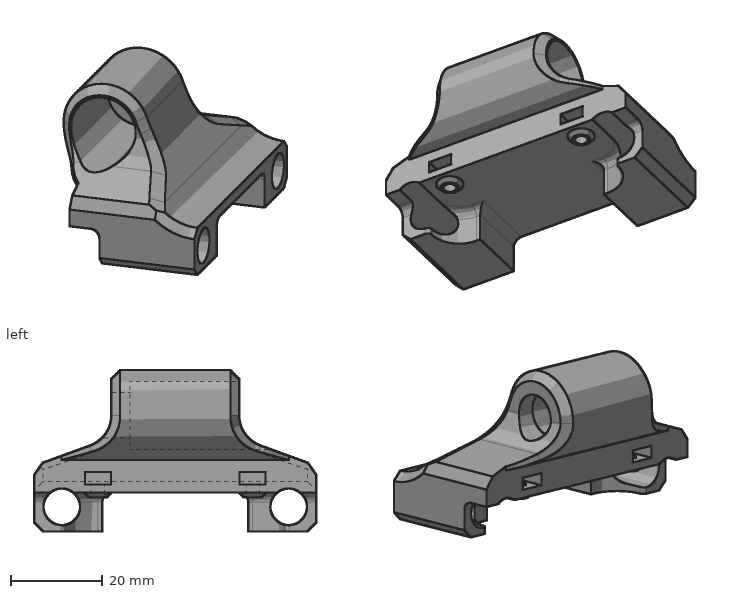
import cadquery as cq
import math

length = 62.0
half_length = length / 2
back_x = 27.05
front_x = -2.05
leg_front_x = 4.9
back_top_z = 11.05
plate_bottom_z = 8.55
edge_chamfer = 2.0

barrel_z = 25.55
barrel_radius = 10.0
barrel_half_length = 14.1
bore_diameter = 10.0
pocket_diameter = 15.0
pocket_depth = 24.0

flare_radius = 7.0
shoulder_angle = math.radians(20)

barrel_tangent_angle = math.radians(20)
foot_radius = 12.0
foot_start_x = 18.3

leg_inner_y = 16.0
leg_root_fillet = 2.0
leg_corner_radius = 1.0
relief_center_y = 17.0
relief_radius = 7.1
rod_y = 24.9
rod_z = 5.45
rod_diameter = 8.0

screw_x = 2.0
screw_y = 17.0
screw_diameter = 3.0
boss_root_diameter = 6.0
boss_height = 1.0
boss_taper = 45
nut_width = 5.7
nut_slot_height = 2.7
nut_slot_z = 10.4

tolerance = 0.005
SIDES = (-1, 1)


def barrel_side_body():
    """Barrel, curved back and plate outline in XZ, swept along the whole length."""
    tangent_x = barrel_radius * math.cos(barrel_tangent_angle)
    tangent_z = barrel_z + barrel_radius * math.sin(barrel_tangent_angle)
    barrel_mid_angle = (math.pi / 2 + barrel_tangent_angle) / 2
    barrel_back_mid = (
        barrel_radius * math.cos(barrel_mid_angle),
        barrel_z + barrel_radius * math.sin(barrel_mid_angle),
    )
    foot_run = back_x - foot_start_x
    foot_start_z = back_top_z + foot_radius - math.sqrt(foot_radius**2 - foot_run**2)
    foot_mid_angle = math.asin(foot_run / foot_radius) / 2
    foot_mid = (
        back_x - foot_radius * math.sin(foot_mid_angle),
        back_top_z + foot_radius * (1 - math.cos(foot_mid_angle)),
    )
    barrel_front_z = barrel_z - math.sqrt(barrel_radius**2 - front_x**2)
    return (
        cq.Workplane("XZ", origin=(0, half_length, 0))
        .moveTo(front_x, plate_bottom_z)
        .lineTo(front_x, barrel_front_z)
        .threePointArc((-barrel_radius, barrel_z), (0, barrel_z + barrel_radius))
        .threePointArc(barrel_back_mid, (tangent_x, tangent_z))
        .tangentArcPoint((foot_start_x - tangent_x, foot_start_z - tangent_z))
        .threePointArc(foot_mid, (back_x, back_top_z))
        .lineTo(back_x, plate_bottom_z)
        .close()
        .extrude(length)
    )


def shoulder_body():
    """Stepped outline in YZ: narrow at the barrel, flaring out to the full length."""
    top_z = barrel_z + barrel_radius
    flare_y = barrel_half_length + flare_radius
    flare_end_y = flare_y - flare_radius * math.sin(shoulder_angle)
    flare_end_z = barrel_z - flare_radius * math.cos(shoulder_angle)
    flare_mid_angle = (math.pi / 2 - shoulder_angle) / 2
    flare_mid = (
        flare_y - flare_radius * math.cos(flare_mid_angle),
        barrel_z - flare_radius * math.sin(flare_mid_angle),
    )
    end_z = flare_end_z - (half_length - flare_end_y) * math.tan(shoulder_angle)
    half = (
        cq.Workplane("YZ", origin=(-barrel_radius, 0, 0))
        .moveTo(0, plate_bottom_z)
        .lineTo(half_length, plate_bottom_z)
        .lineTo(half_length, end_z)
        .lineTo(flare_end_y, flare_end_z)
        .threePointArc(flare_mid, (barrel_half_length, barrel_z))
        .lineTo(barrel_half_length, top_z)
        .lineTo(0, top_z)
        .close()
        .extrude(barrel_radius + back_x)
    )
    return half.union(half.mirror("XZ"))


def is_upper_rim(edge):
    """True for edges where the barrel outline or the end faces meet the shoulders.

    The ends of the curved foot are left out; they are chamfered separately.
    """
    box = edge.BoundingBox()
    foot_end = box.xmax > back_x - tolerance
    on_end_face = box.ymax - box.ymin < tolerance and abs(abs(box.ymin) - half_length) < tolerance
    along_x = box.ymax - box.ymin < tolerance and box.zmax - box.zmin < tolerance
    along_y = box.xmax - box.xmin < tolerance and box.zmax - box.zmin < tolerance
    on_flat_ends = box.xmax < front_x + tolerance and box.xmin > front_x - tolerance
    if on_flat_ends or foot_end or along_y or box.zmax < plate_bottom_z + tolerance:
        return False
    return on_end_face or not along_x


def chamfered_back_body():
    """Barrel outline swept along Y, with its concave back chamfered at both ends."""
    body = barrel_side_body()
    back_edges = []
    for edge in body.faces("<Y or >Y").edges().vals():
        box = edge.BoundingBox()
        below_barrel = box.zmax < barrel_z + barrel_radius - tolerance
        if box.xmin > 0 and below_barrel and edge.geomType() == "CIRCLE":
            back_edges.append(edge)
    return body.newObject(back_edges).chamfer(edge_chamfer)


def make_upper_body():
    body = barrel_side_body().intersect(shoulder_body())
    rim = [edge for edge in body.edges().vals() if is_upper_rim(edge)]
    return body.newObject(rim).chamfer(edge_chamfer).intersect(chamfered_back_body())


def make_leg(side):
    """One leg, hollowed at its inner front corner to clear the screw."""
    relief_x = leg_front_x + leg_corner_radius
    relief_end_y = relief_center_y + relief_radius
    diagonal = math.sqrt(0.5)
    leg = (
        cq.Workplane("XY")
        .moveTo(leg_front_x, half_length)
        .lineTo(leg_front_x, relief_end_y + leg_corner_radius)
        .threePointArc(
            (
                relief_x - leg_corner_radius * diagonal,
                relief_end_y + leg_corner_radius * (1 - diagonal),
            ),
            (relief_x, relief_end_y),
        )
        .threePointArc(
            (relief_x + relief_radius * diagonal, relief_center_y + relief_radius * diagonal),
            (relief_x + relief_radius, relief_center_y),
        )
        .lineTo(relief_x + relief_radius, leg_inner_y)
        .lineTo(back_x, leg_inner_y)
        .lineTo(back_x, half_length)
        .close()
        .extrude(plate_bottom_z)
        .faces(">Y")
        .edges("<Z")
        .chamfer(edge_chamfer)
    )
    return leg if side > 0 else leg.mirror("XZ")


def is_leg_root(edge):
    """True for edges where a leg wall meets the underside of the plate."""
    box = edge.BoundingBox()
    center = edge.Center()
    return (
        abs(box.zmin - plate_bottom_z) < tolerance
        and abs(box.zmax - plate_bottom_z) < tolerance
        and leg_front_x - tolerance < center.x < back_x - tolerance
        and leg_inner_y - tolerance < abs(center.y) < half_length - tolerance
    )


def make_boss(side):
    return (
        cq.Workplane("XY", origin=(screw_x, side * screw_y, plate_bottom_z))
        .circle(boss_root_diameter / 2)
        .extrude(-boss_height, taper=boss_taper)
    )


def make_screw_cut(side):
    """Screw hole from below and the nut slot it opens into."""
    hole_start_z = plate_bottom_z - boss_height
    hole = (
        cq.Workplane("XY", origin=(screw_x, side * screw_y, hole_start_z))
        .circle(screw_diameter / 2)
        .extrude(nut_slot_z + nut_slot_height - hole_start_z)
    )
    slot_depth = screw_x + nut_width / 2 - front_x
    slot = cq.Workplane("XY", origin=(front_x, side * screw_y, nut_slot_z)).box(
        slot_depth, nut_width, nut_slot_height, centered=(False, True, False)
    )
    return hole.union(slot)


def make_rod_hole(side):
    return (
        cq.Workplane("YZ", origin=(front_x, side * rod_y, rod_z))
        .circle(rod_diameter / 2)
        .extrude(back_x - front_x)
    )


def make_bearing_cut():
    """Through bore along Y with a bearing pocket entered from the -Y side."""
    bore = (
        cq.Workplane("XZ", origin=(0, half_length, barrel_z))
        .circle(bore_diameter / 2)
        .extrude(length)
    )
    pocket_end_y = pocket_depth - barrel_half_length
    pocket = (
        cq.Workplane("XZ", origin=(0, pocket_end_y, barrel_z))
        .circle(pocket_diameter / 2)
        .extrude(half_length + pocket_end_y)
    )
    return bore.union(pocket)


result = make_upper_body()
for side in SIDES:
    result = result.union(make_leg(side))
root_edges = [edge for edge in result.edges().vals() if is_leg_root(edge)]
result = result.newObject(root_edges).fillet(leg_root_fillet)
for side in SIDES:
    result = result.union(make_boss(side))
for side in SIDES:
    result = result.cut(make_screw_cut(side)).cut(make_rod_hole(side))
result = result.cut(make_bearing_cut())